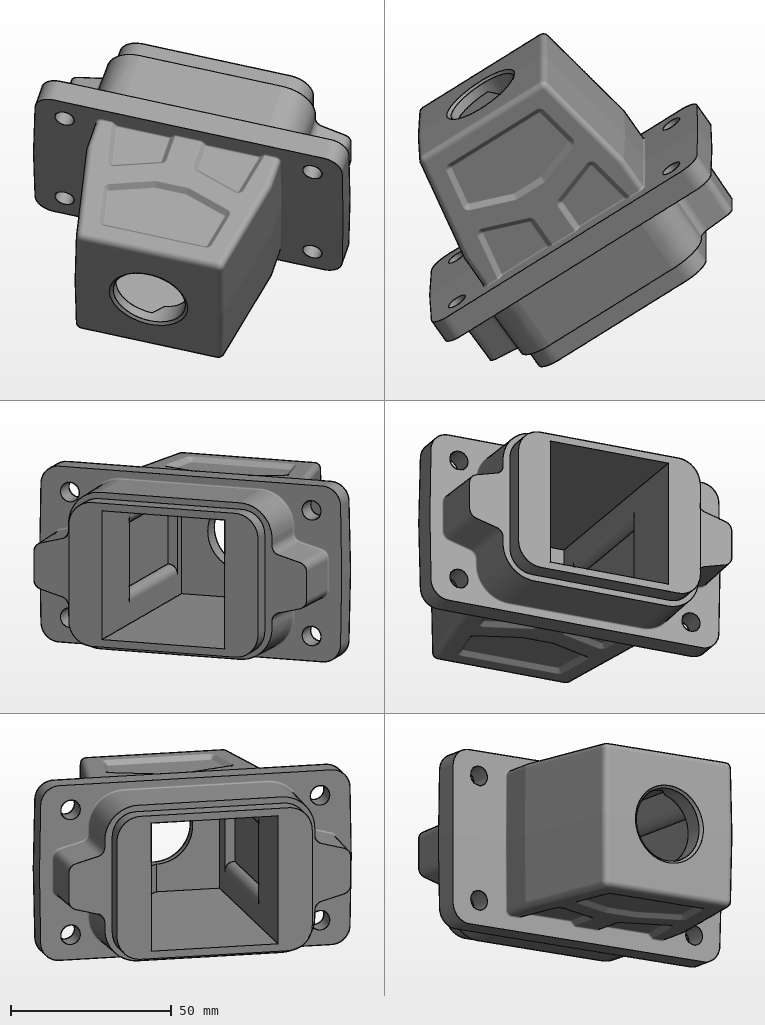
import cadquery as cq
import math

DRAFT = 1.0
DRAFT_SLOPE = math.tan(math.radians(DRAFT))

TOLERANCE = 1e-4
PICK_MARGIN = 1.0

FLANGE_LENGTH = 100.0
FLANGE_HEIGHT = 56.0
FLANGE_THICKNESS = 8.2
FLANGE_CORNER_RADIUS = 6.0
MOUNT_HOLE_DIAMETER = 6.2
MOUNT_HOLE_SPACING_X = 80.0
MOUNT_HOLE_SPACING_Z = 40.0

HOOD_HALF_WIDTH = 30.2
HOOD_HALF_HEIGHT = 23.3
HOOD_END_Y = -55.0
HOOD_BEND_Y = -19.0
HOOD_SIDE_ANGLE = 10.0
HOOD_FILLET = 2.0
JOINT_FILLET = 0.5

POCKET_DEPTH = 1.5
POCKET_WALL_WIDTH = 1.6
POCKET_CORNER_RADIUS = 2.0
POCKET_EDGE_FILLET = 0.5
POCKET_SHOULDER_ANGLE = 20.0
LOWER_POCKET_BOTTOM_Y = -48.1
LOWER_POCKET_TOP_Y = -26.7
LOWER_POCKET_TOP_HALF_WIDTH = 5.3
LOWER_POCKET_BOTTOM_HALF_WIDTH = 17.9
UPPER_POCKET_INNER_X = 4.3
UPPER_POCKET_INNER_Y = -19.0
UPPER_POCKET_OUTER_X = 24.6

BORE_DIAMETER = 23.3
BORE_CHAMFER = 1.0

BODY_LENGTH = 18.7
BODY_HALF_WIDTH = 34.0
BODY_HALF_HEIGHT = 25.25
BODY_CORNER_RADIUS = 11.0
LOBE_HALF_WIDTH = 45.5
LOBE_TIP_HALF_HEIGHT = 7.0
LOBE_SIDE_ANGLE = 15.0
LOBE_FILLET = 3.0
NOSE_LENGTH = 6.3
NOSE_HALF_WIDTH = 31.3
NOSE_HALF_HEIGHT = 22.9
NOSE_CORNER_RADIUS = 7.6

CAVITY_HALF_WIDTH = 20.3
CAVITY_HALF_HEIGHT = 20.5
THIN_WALL = 4.2
THICK_WALL = 7.2
LEDGE_HALF_WIDTH = 23.5
LEDGE_HALF_HEIGHT = 10.5
LEDGE_FRONT_Y = -44.0
LEDGE_FILLET = 3.0


def box_between(x_range, y_range, z_range):
    """Axis-aligned box given by its limits."""
    size = [high - low for low, high in (x_range, y_range, z_range)]
    corner = cq.Vector(x_range[0], y_range[0], z_range[0])
    return cq.Workplane(obj=cq.Solid.makeBox(*size, corner))


def mirrored_in_x(points):
    """Close a right-hand half outline with its mirror image about X = 0."""
    return points + [(-x, y) for x, y in reversed(points)]


def make_flange():
    """Rounded plate whose ends and front face lean back from the parting plane."""
    half_height = FLANGE_HEIGHT / 2
    half_length = FLANGE_LENGTH / 2
    lean = half_height * DRAFT_SLOPE
    outline = mirrored_in_x([
        (half_length - lean, -half_height),
        (half_length, 0),
        (half_length - lean, half_height),
    ])
    plate = cq.Workplane("XZ").polyline(outline).close().extrude(FLANGE_THICKNESS)
    rounded_ends = plate.edges("|Y").edges(">Z or <Z").fillet(FLANGE_CORNER_RADIUS)
    side_profile = [
        (0, -half_height),
        (0, half_height),
        (lean - FLANGE_THICKNESS, half_height),
        (-FLANGE_THICKNESS, 0),
        (lean - FLANGE_THICKNESS, -half_height),
    ]
    drafted_faces = cq.Workplane("YZ").polyline(side_profile).close().extrude(half_length, both=True)
    return rounded_ends.intersect(drafted_faces)


def make_hood():
    """Tapering hood with rounded edges and pockets, mirrored about the parting plane."""
    end_half_width = HOOD_HALF_WIDTH - (HOOD_BEND_Y - HOOD_END_Y) * math.tan(math.radians(HOOD_SIDE_ANGLE))
    plan = mirrored_in_x([
        (HOOD_HALF_WIDTH, 0),
        (HOOD_HALF_WIDTH, HOOD_BEND_Y),
        (end_half_width, HOOD_END_Y),
    ])
    upper = cq.Workplane("XY").polyline(plan).close().extrude(HOOD_HALF_HEIGHT, taper=DRAFT)
    rims = upper.faces(">Z").edges("not >Y")
    end_corners = upper.edges("not #Z").edges("<Y")
    rounded = rims.add(end_corners).fillet(HOOD_FILLET)
    pockets = make_pockets()
    pocketed = rounded.cut(pockets)
    pocket_rim = cq.Compound.makeCompound(pockets.faces(">Z").edges().vals())
    rim_edges = pocketed.faces(">Z").edges().filter(
        lambda edge: pocket_rim.distance(cq.Vertex.makeVertex(*edge.positionAt(0.5).toTuple())) < TOLERANCE
    )
    half = rim_edges.fillet(POCKET_EDGE_FILLET)
    return half.union(half.mirror("XY"))


def pocket_cutter(outline):
    """Sloping-walled cutter that sinks into the top of the hood from a closed outline."""
    wall_angle = math.degrees(math.atan2(POCKET_WALL_WIDTH, POCKET_DEPTH))
    sketch = cq.Sketch().polygon(outline + outline[:1]).vertices().fillet(POCKET_CORNER_RADIUS)
    top = cq.Workplane("XY").workplane(offset=HOOD_HALF_HEIGHT)
    cutter = top.placeSketch(sketch).extrude(-POCKET_DEPTH, taper=wall_angle)
    return cutter.faces("<Z").edges().fillet(POCKET_EDGE_FILLET)


def make_pockets():
    """Cutters for one wide pocket near the hood end and two open pockets beside the flange."""
    side = math.tan(math.radians(HOOD_SIDE_ANGLE))
    shoulder = math.tan(math.radians(POCKET_SHOULDER_ANGLE))

    height = LOWER_POCKET_TOP_Y - LOWER_POCKET_BOTTOM_Y
    run = LOWER_POCKET_BOTTOM_HALF_WIDTH - LOWER_POCKET_TOP_HALF_WIDTH
    shoulder_x = LOWER_POCKET_TOP_HALF_WIDTH + (run + height * side) / (1 + shoulder * side)
    shoulder_y = LOWER_POCKET_TOP_Y - (shoulder_x - LOWER_POCKET_TOP_HALF_WIDTH) * shoulder
    lower = pocket_cutter(mirrored_in_x([
        (LOWER_POCKET_TOP_HALF_WIDTH, LOWER_POCKET_TOP_Y),
        (shoulder_x, shoulder_y),
        (LOWER_POCKET_BOTTOM_HALF_WIDTH, LOWER_POCKET_BOTTOM_Y),
    ]))

    outer_x_at_inner_y = UPPER_POCKET_OUTER_X + (UPPER_POCKET_INNER_Y + FLANGE_THICKNESS) * side
    width_at_inner_y = outer_x_at_inner_y - UPPER_POCKET_INNER_X
    corner_run = width_at_inner_y / (1 + shoulder * side)
    start_y = FLANGE_THICKNESS
    upper = pocket_cutter([
        (UPPER_POCKET_INNER_X, start_y),
        (UPPER_POCKET_OUTER_X + (start_y + FLANGE_THICKNESS) * side, start_y),
        (UPPER_POCKET_INNER_X + corner_run, UPPER_POCKET_INNER_Y - corner_run * shoulder),
        (UPPER_POCKET_INNER_X, UPPER_POCKET_INNER_Y),
    ])
    return lower.union(upper).union(upper.mirror("YZ"))


def rounded_block(half_width, half_height, radius, start_y, length, taper=0):
    """Block along +Y with rounded corners, narrowing by the taper angle."""
    section = cq.Sketch().rect(2 * half_width, 2 * half_height).vertices().fillet(radius)
    base = cq.Workplane("XZ", origin=(0, start_y, 0))
    return base.placeSketch(section).extrude(-length, taper=taper)


def lobe_edges(x):
    """Selector for the lengthwise lobe edges whose midpoints lie close to the given X."""
    low = (x - PICK_MARGIN, PICK_MARGIN, -BODY_HALF_HEIGHT + BODY_CORNER_RADIUS)
    high = (x + PICK_MARGIN, BODY_LENGTH - PICK_MARGIN, BODY_HALF_HEIGHT - BODY_CORNER_RADIUS)
    return cq.selectors.BoxSelector(low, high)


def make_mating_end():
    """Drafted body with a locking lobe on each side, followed by a straight nose."""
    body = rounded_block(BODY_HALF_WIDTH, BODY_HALF_HEIGHT, BODY_CORNER_RADIUS, 0, BODY_LENGTH, DRAFT)
    center_half_height = LOBE_TIP_HALF_HEIGHT + LOBE_HALF_WIDTH * math.tan(math.radians(LOBE_SIDE_ANGLE))
    lobe_outline = [
        (0, -center_half_height),
        (LOBE_HALF_WIDTH, -LOBE_TIP_HALF_HEIGHT),
        (LOBE_HALF_WIDTH, LOBE_TIP_HALF_HEIGHT),
        (0, center_half_height),
        (-LOBE_HALF_WIDTH, LOBE_TIP_HALF_HEIGHT),
        (-LOBE_HALF_WIDTH, -LOBE_TIP_HALF_HEIGHT),
    ]
    lobes = cq.Workplane("XZ").polyline(lobe_outline).close().extrude(-BODY_LENGTH, taper=DRAFT)
    solid = body.union(lobes)
    for side in (-1, 1):
        for x in (BODY_HALF_WIDTH, LOBE_HALF_WIDTH):
            solid = solid.edges(lobe_edges(side * x)).edges("not #Y").fillet(LOBE_FILLET)
    nose = rounded_block(NOSE_HALF_WIDTH, NOSE_HALF_HEIGHT, NOSE_CORNER_RADIUS, BODY_LENGTH, NOSE_LENGTH)
    return solid.union(nose)


def make_mount_holes():
    """Four clearance holes through the flange."""
    return (
        cq.Workplane("XZ")
        .rect(MOUNT_HOLE_SPACING_X, MOUNT_HOLE_SPACING_Z, forConstruction=True)
        .vertices()
        .circle(MOUNT_HOLE_DIAMETER / 2)
        .extrude(FLANGE_THICKNESS)
    )


def make_cable_entry():
    """Chamfered bore through the end wall of the hood."""
    radius = BORE_DIAMETER / 2
    bore = cq.Workplane("XZ", origin=(0, HOOD_END_Y, 0)).circle(radius).extrude(-THICK_WALL)
    mouth = cq.Solid.makeCone(
        radius + BORE_CHAMFER,
        radius,
        BORE_CHAMFER,
        cq.Vector(0, HOOD_END_Y, 0),
        cq.Vector(0, 1, 0),
    )
    return bore.union(cq.Workplane(obj=mouth))


def make_cavity():
    """Straight-through cavity with a ledged recess in each side wall of the hood.

    The end wall is thin at negative X and steps up to full thickness over a 45 degree ramp.
    """
    rear_y = BODY_LENGTH + NOSE_LENGTH
    step = THICK_WALL - THIN_WALL
    plan = [
        (-CAVITY_HALF_WIDTH, HOOD_END_Y + THIN_WALL),
        (0, HOOD_END_Y + THIN_WALL),
        (step, HOOD_END_Y + THICK_WALL),
        (CAVITY_HALF_WIDTH, HOOD_END_Y + THICK_WALL),
        (CAVITY_HALF_WIDTH, rear_y),
        (-CAVITY_HALF_WIDTH, rear_y),
    ]
    main = cq.Workplane("XY").polyline(plan).close().extrude(CAVITY_HALF_HEIGHT, both=True)
    ledge = box_between(
        (-LEDGE_HALF_WIDTH, LEDGE_HALF_WIDTH),
        (LEDGE_FRONT_Y, 0),
        (-LEDGE_HALF_HEIGHT, LEDGE_HALF_HEIGHT),
    )
    ledge_corners = cq.selectors.BoxSelector(
        (-CAVITY_HALF_WIDTH - PICK_MARGIN, LEDGE_FRONT_Y, -LEDGE_HALF_HEIGHT - PICK_MARGIN),
        (CAVITY_HALF_WIDTH + PICK_MARGIN, 0, LEDGE_HALF_HEIGHT + PICK_MARGIN),
    )
    return main.union(ledge).edges(ledge_corners).edges("|Y").fillet(LEDGE_FILLET)


def joint_edges(y, half_width, half_height):
    """Selector for the foot of whatever rises from the flange side near the given Y."""
    low = (-half_width - JOINT_FILLET, y - JOINT_FILLET, -half_height - JOINT_FILLET)
    high = (half_width + JOINT_FILLET, y + JOINT_FILLET, half_height + JOINT_FILLET)
    return cq.selectors.BoxSelector(low, high)


body_joint = joint_edges(0, LOBE_HALF_WIDTH, BODY_HALF_HEIGHT)
hood_joint = joint_edges(-FLANGE_THICKNESS, HOOD_HALF_WIDTH, HOOD_HALF_HEIGHT)
shell = make_flange().union(make_mating_end()).edges(body_joint).fillet(JOINT_FILLET)
shell = shell.union(make_hood()).edges(hood_joint).fillet(JOINT_FILLET)
result = shell.cut(make_mount_holes()).cut(make_cavity()).cut(make_cable_entry())